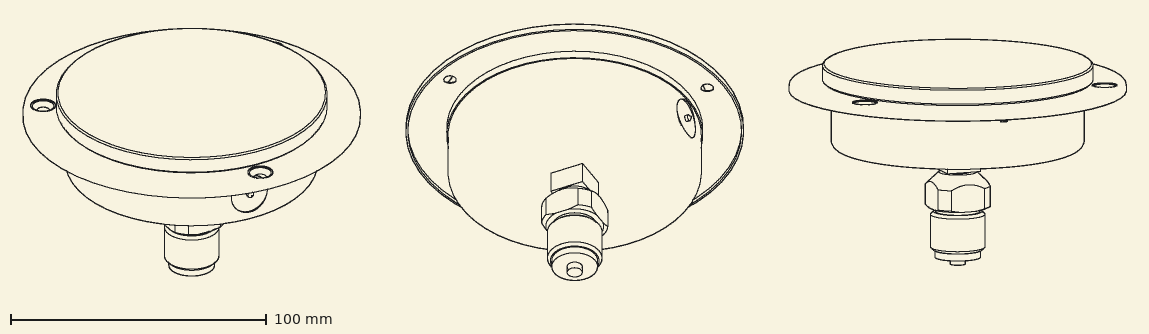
import cadquery as cq

total_height = 79.6
flange_diameter = 132.0
flange_thickness = 3.7
flange_rounding = 2.0
flange_hollow_diameter = 130.4
flange_hollow_depth = 1.5
bezel_diameter = 105.9
bezel_height = 6.9
bezel_chamfer = 0.7
collar_diameter = 100.0
collar_height = 1.7
case_diameter = 99.0
case_height = 22.7
case_rounding = 3.0

hole_count = 3
hole_circle_radius = 58.1
hole_diameter = 4.8
counterbore_diameter = 9.8
counterbore_depth = 0.4
countersink_diameter = 8.5

shank_width = 13.9
shank_height = 8.8
stem_neck_diameter = 9.8
stem_neck_height = 0.8
nut_width = 21.9
nut_corner_diameter = 26.0
nut_height = 14.1
nut_top_chamfer_width = 5.5
nut_top_chamfer_height = 5.3
nut_bottom_chamfer_width = 1.7
nut_bottom_chamfer_height = 0.8
undercut_diameter = 17.5
undercut_height = 1.6
thread_diameter = 21.4
thread_height = 15.3
thread_chamfer = 1.2
seal_diameter = 18.0
seal_height = 2.9
pin_diameter = 6.0

plug_diameter = 15.8
plug_recess_depth = 0.7
plug_drop = 10.4
nipple_diameter = 2.5
nipple_tip_diameter = 0.5
nipple_base_length = 1.2
nipple_tip_length = 1.0

groove_width = 2.9
groove_height = 4.0
groove_depth = 0.5
tongue_width = 2.1
tongue_height = 3.4

countersink_depth = flange_thickness - flange_hollow_depth - counterbore_depth

flange_top = total_height - bezel_height
flange_bottom = flange_top - flange_thickness
collar_bottom = flange_bottom - collar_height
case_bottom = flange_bottom - case_height
shank_bottom = case_bottom - shank_height
nut_top = shank_bottom - stem_neck_height
nut_bottom = nut_top - nut_height
thread_top = nut_bottom - undercut_height
thread_bottom = thread_top - thread_height
seal_bottom = thread_bottom - seal_height


def disc(diameter, bottom, top):
    """Vertical cylinder on the main axis."""
    return cq.Workplane("XY").workplane(offset=bottom).circle(diameter / 2).extrude(top - bottom)


def gauge_head():
    bezel = disc(bezel_diameter, flange_top, total_height).edges().chamfer(bezel_chamfer)
    flange = disc(flange_diameter, flange_bottom, flange_top).edges(">Z").fillet(flange_rounding)
    hollow = disc(flange_hollow_diameter, flange_bottom, flange_bottom + flange_hollow_depth)
    flange = flange.cut(hollow)
    collar = disc(collar_diameter, collar_bottom, flange_top)
    case = disc(case_diameter, case_bottom, flange_top).edges("<Z").fillet(case_rounding)
    return case.union(collar).union(flange).union(bezel)


def mounting_holes():
    seat = flange_top - counterbore_depth
    counterbore = disc(counterbore_diameter, seat, flange_top)
    countersink = (
        cq.Workplane("XY")
        .workplane(offset=seat)
        .circle(countersink_diameter / 2)
        .workplane(offset=-countersink_depth)
        .circle(hole_diameter / 2)
        .loft()
    )
    cutter = countersink.union(counterbore).translate((hole_circle_radius, 0, 0))
    cutters = cq.Workplane("XY")
    for index in range(hole_count):
        angle = index * 360 / hole_count
        cutters = cutters.add(cutter.rotate((0, 0, 0), (0, 0, 1), angle))
    return cutters.combine()


def union_nut():
    """Square nut whose corners are turned round and whose ends are coned."""
    square = (
        cq.Workplane("XY")
        .workplane(offset=nut_bottom)
        .rect(nut_width, nut_width)
        .extrude(nut_height)
    )
    corner_radius = nut_corner_diameter / 2
    turned = (
        cq.Workplane("XZ")
        .moveTo(0, nut_bottom)
        .lineTo(corner_radius - nut_bottom_chamfer_width, nut_bottom)
        .lineTo(corner_radius, nut_bottom + nut_bottom_chamfer_height)
        .lineTo(corner_radius, nut_top - nut_top_chamfer_height)
        .lineTo(corner_radius - nut_top_chamfer_width, nut_top)
        .lineTo(0, nut_top)
        .close()
        .revolve(360, (0, 0, 0), (0, 1, 0))
    )
    return square.intersect(turned)


def stem():
    shank = (
        cq.Workplane("XY")
        .workplane(offset=shank_bottom)
        .rect(shank_width, shank_width)
        .extrude(shank_height)
    )
    neck = disc(stem_neck_diameter, nut_top, shank_bottom)
    undercut = disc(undercut_diameter, thread_top, nut_bottom)
    thread = disc(thread_diameter, thread_bottom, thread_top).edges().chamfer(thread_chamfer)
    seal = disc(seal_diameter, seal_bottom, thread_bottom)
    pin = disc(pin_diameter, 0, seal_bottom)
    pieces = (neck, union_nut(), undercut, thread, seal, pin)
    for piece in pieces:
        shank = shank.union(piece)
    return shank


plug_floor = case_diameter / 2 - plug_recess_depth
plug_plane = cq.Workplane("YZ", origin=(plug_floor, 0, flange_bottom - plug_drop))
plug_recess = plug_plane.circle(plug_diameter / 2).extrude(2 * plug_recess_depth)
nipple = plug_plane.circle(nipple_diameter / 2).extrude(nipple_base_length)
nipple_tip = (
    plug_plane.workplane(offset=nipple_base_length)
    .circle(nipple_diameter / 2)
    .workplane(offset=nipple_tip_length)
    .circle(nipple_tip_diameter / 2)
    .loft()
)


def groove_block(width, height):
    """Box reaching inward from the -X side of the collar, down from the flange."""
    outer_x = -collar_diameter / 2
    inner_x = -case_diameter / 2 + groove_depth
    center = ((outer_x + inner_x) / 2, 0, flange_bottom - height / 2)
    return cq.Workplane("XY", origin=center).box(inner_x - outer_x, width, height)


groove = groove_block(groove_width, groove_height).cut(groove_block(tongue_width, tongue_height))

result = (
    gauge_head()
    .union(stem())
    .cut(mounting_holes())
    .cut(plug_recess)
    .union(nipple)
    .union(nipple_tip)
    .cut(groove)
)